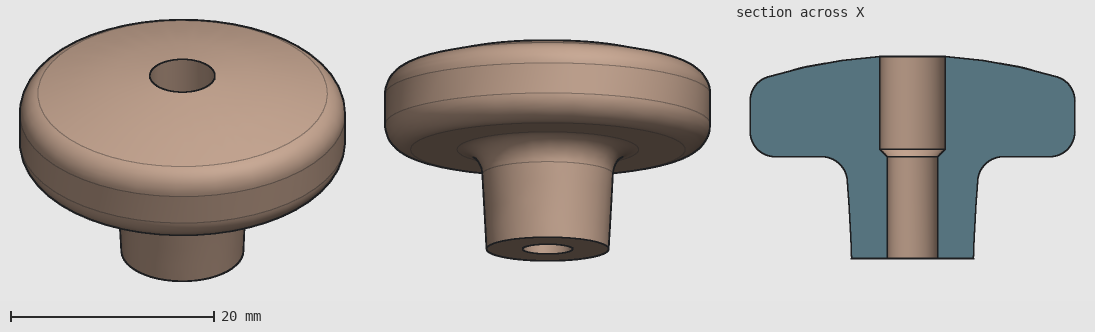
import cadquery as cq
import math

head_radius = 16.0
apex_height = 20.0
underside_height = apex_height / 2
blend_radius = 2.5
rim_band_height = 3.0
stem_foot_radius = 6.0
stem_top_radius = 6.43
head_bore_radius = 3.2
screw_bore_radius = 2.45
seat_angle = 45.0

stem_top = underside_height - blend_radius
band_bottom = underside_height + blend_radius
band_top = band_bottom + rim_band_height

rim_center_radius = head_radius - blend_radius
rim_drop = apex_height - band_top
dome_radius = (rim_center_radius**2 + rim_drop**2 - blend_radius**2) / (2 * (rim_drop - blend_radius))
dome_center_height = apex_height - dome_radius
tangent_angle = math.atan2(rim_center_radius, band_top - dome_center_height)


def arc_point(center_radius, center_height, radius, angle):
    """Point on a profile arc; the angle is measured from +Z outwards."""
    return (
        center_radius + radius * math.sin(angle),
        center_height + radius * math.cos(angle),
    )


def make_body():
    """Tapered stem, filleted into a round-edged head with a domed top."""
    dome_edge = arc_point(0, dome_center_height, dome_radius, tangent_angle)
    dome_mid = arc_point(0, dome_center_height, dome_radius, tangent_angle / 2)
    upper_round_mid = arc_point(
        rim_center_radius, band_top, blend_radius, (tangent_angle + math.pi / 2) / 2
    )
    lower_round_mid = arc_point(rim_center_radius, band_bottom, blend_radius, 0.75 * math.pi)
    fillet_center_radius = stem_top_radius + blend_radius
    fillet_mid = arc_point(fillet_center_radius, stem_top, blend_radius, -math.pi / 4)
    profile = (
        cq.Workplane("XZ")
        .lineTo(stem_foot_radius, 0)
        .lineTo(stem_top_radius, stem_top)
        .threePointArc(fillet_mid, (fillet_center_radius, underside_height))
        .lineTo(rim_center_radius, underside_height)
        .threePointArc(lower_round_mid, (head_radius, band_bottom))
        .lineTo(head_radius, band_top)
        .threePointArc(upper_round_mid, dome_edge)
        .threePointArc(dome_mid, (0, apex_height))
        .close()
    )
    return profile.revolve(360, (0, 0, 0), (0, 1, 0))


def make_bore():
    """Screw bore opening through a conical seat, at the underside height, into the head recess."""
    seat_height = (head_bore_radius - screw_bore_radius) * math.tan(math.radians(seat_angle))
    profile = (
        cq.Workplane("XZ")
        .lineTo(screw_bore_radius, 0)
        .lineTo(screw_bore_radius, underside_height)
        .lineTo(head_bore_radius, underside_height + seat_height)
        .lineTo(head_bore_radius, apex_height)
        .lineTo(0, apex_height)
        .close()
    )
    return profile.revolve(360, (0, 0, 0), (0, 1, 0))


result = make_body().cut(make_bore())